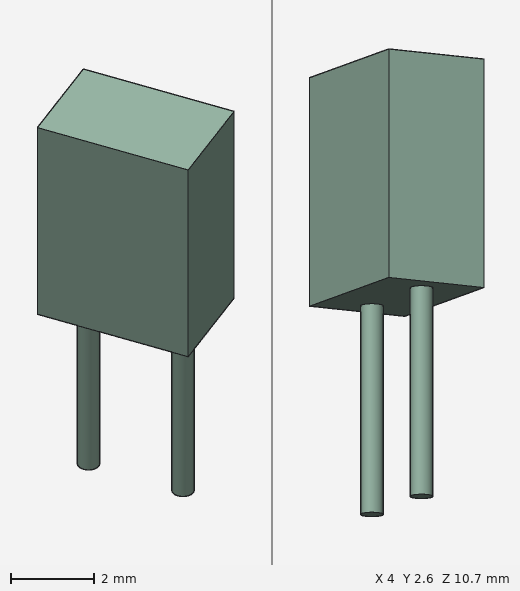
import cadquery as cq

total_height = 10.7
body_width = 4.0
body_depth = 2.6
body_height = 5.6

lead_diameter = 0.55
lead_pitch = 2.5
lead_length = total_height - body_height


def make_body():
    """Rectangular case standing on the plane Z = 0."""
    return cq.Workplane("XY").box(body_width, body_depth, body_height, centered=(True, True, False))


def make_lead(x):
    """Round lead hanging from the underside of the case."""
    return cq.Workplane("XY").center(x, 0).circle(lead_diameter / 2).extrude(-lead_length)


body = make_body()
leads = [make_lead(side * lead_pitch / 2) for side in (-1, 1)]

result = cq.Compound.makeCompound([body.val(), *[lead.val() for lead in leads]])